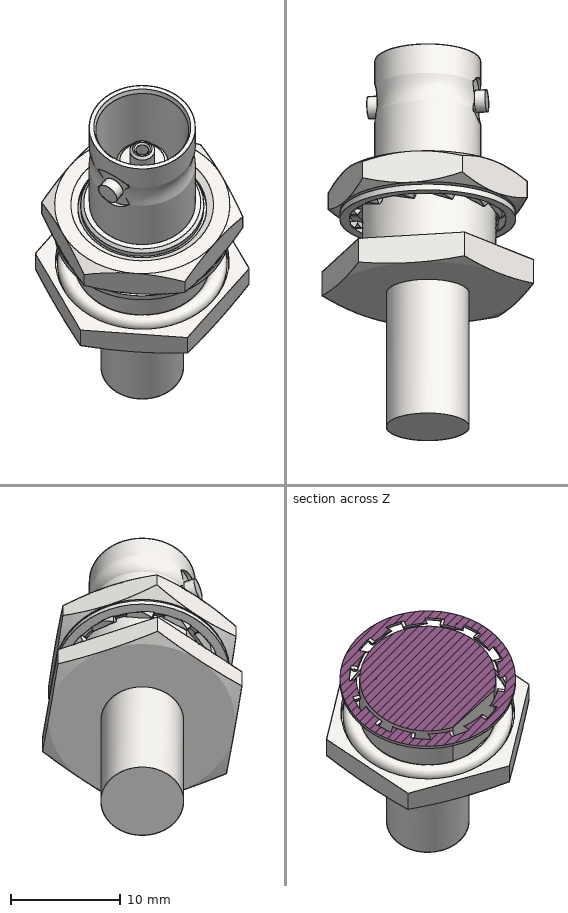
import cadquery as cq
import math


total_height = 35.4
flange_bottom = 12.95
flange_top = 15.6
nut_bottom = 20.92
nut_top = 23.93
barrel_base = 24.2

tube_radius = 3.8
flange_flats = 17.0
flange_chamfer_angle = 15.0

ring_section_radius = 0.78
ring_top = 16.05
groove_radius = 7.93
ring_bite = 0.05

thread_radius = 6.23
relief_radius = 5.63
collar_radius = 5.35
relief_bottom = 23.47
thread_flat = 5.52

nut_flats = 16.0
nut_chamfer_angle = 30.0
nut_bore_radius = 5.88
nut_bore_chamfer_width = 0.65
nut_bore_chamfer_depth = 0.35

washer_radius = 8.05
washer_inner_radius = 7.15
washer_bottom = 20.1
washer_thickness = 0.55
tooth_count = 12
tooth_tilt = 17.0
tooth_width = 2.4
tooth_inner_radius = 6.5
tooth_ridge_radius = 6.8
tooth_ridge_height = 0.4
tooth_root_overlap = 0.07

barrel_radius = 4.85
waist_radius = 4.65
waist_half_height = 1.3
pin_height = 31.25
pin_radius = 1.03
pin_reach = 5.5
pin_seat_radius = 2.15
pin_seat_offset = 4.5

mouth_radius = 4.42
mouth_chamfer_radius = 4.25
mouth_chamfer_depth = 0.42
socket_floor_radius = 3.95
socket_depth = 8.85

insulator_radius = 2.37
insulator_tip_radius = 2.05
insulator_top = 30.45
contact_radius = 1.15
contact_tip_radius = 0.9
contact_top = 32.2
contact_chamfer = 0.25
contact_bore_radius = 0.55
contact_bore_chamfer = 0.18
contact_bore_depth = 4.25


def cylinder(radius, bottom, top):
    return cq.Workplane("XY").workplane(offset=bottom).circle(radius).extrude(top - bottom)


def revolve_profile(profile):
    """Turn a closed wire of (radius, height) points about Z."""
    return profile.close().revolve(360, (0, 0, 0), (0, 1, 0))


def turned(points):
    return revolve_profile(cq.Workplane("XZ").polyline(points))


def hexagon(flats, bottom, top):
    """Hexagonal prism with two flats facing +X and -X."""
    corner_diameter = flats / math.cos(math.pi / 6)
    prism = cq.Workplane("XY").workplane(offset=bottom).polygon(6, corner_diameter).extrude(top - bottom)
    return prism.rotate((0, 0, 0), (0, 0, 1), 30)


def chamfered_hexagon(flats, bottom, top, angle, chamfer_top):
    """Hexagon whose corners are turned off by a cone starting at the inscribed circle."""
    inscribed = flats / 2
    corner = inscribed / math.cos(math.pi / 6)
    drop = (corner - inscribed) * math.tan(math.radians(angle))
    envelope = [(0, bottom), (inscribed, bottom), (corner, bottom + drop)]
    if chamfer_top:
        envelope += [(corner, top - drop), (inscribed, top), (0, top)]
    else:
        envelope += [(corner, top), (0, top)]
    return hexagon(flats, bottom, top).intersect(turned(envelope))


def make_flange():
    flange = chamfered_hexagon(flange_flats, flange_bottom, flange_top, flange_chamfer_angle, False)
    groove_floor = ring_top - 2 * ring_section_radius + ring_bite
    return flange.cut(cylinder(groove_radius, groove_floor, flange_top))


def make_o_ring():
    ring_radius = thread_radius + ring_section_radius - ring_bite
    section = cq.Workplane("XZ").center(ring_radius, ring_top - ring_section_radius)
    return section.circle(ring_section_radius).revolve(360, (-ring_radius, 0, 0), (-ring_radius, 1, 0))


def make_threaded_body():
    """Threaded length with a relieved front end and one flat along its +Y side."""
    chamfer = relief_radius - collar_radius
    body = turned([
        (0, flange_bottom),
        (thread_radius, flange_bottom),
        (thread_radius, relief_bottom - (thread_radius - relief_radius)),
        (relief_radius, relief_bottom),
        (relief_radius, barrel_base - chamfer),
        (collar_radius, barrel_base),
        (0, barrel_base),
    ])
    flat_cut = cq.Workplane("XY", origin=(0, thread_flat, flange_bottom)).box(
        2 * thread_radius, thread_radius, barrel_base - flange_bottom, centered=(True, False, False)
    )
    return body.cut(flat_cut)


def make_nut():
    nut = chamfered_hexagon(nut_flats, nut_bottom, nut_top, nut_chamfer_angle, True)
    rim_radius = nut_bore_radius + nut_bore_chamfer_width
    bore = turned([
        (0, nut_bottom),
        (rim_radius, nut_bottom),
        (nut_bore_radius, nut_bottom + nut_bore_chamfer_depth),
        (nut_bore_radius, nut_top - nut_bore_chamfer_depth),
        (rim_radius, nut_top),
        (0, nut_top),
    ])
    return nut.cut(bore)


def make_lock_washer():
    """Flat ring with tilted inner teeth; the tooth ridges bite into the nut."""
    washer_top = washer_bottom + washer_thickness
    middle = (washer_bottom + washer_top) / 2
    washer = cylinder(washer_radius, washer_bottom, washer_top)
    washer = washer.cut(cylinder(washer_inner_radius, washer_bottom, washer_top))
    root_radius = washer_inner_radius + tooth_root_overlap
    tooth_ring = turned([
        (root_radius, washer_bottom),
        (root_radius, washer_top),
        (tooth_ridge_radius, washer_top + tooth_ridge_height),
        (tooth_inner_radius, washer_top),
        (tooth_inner_radius, washer_bottom),
        (tooth_ridge_radius, washer_bottom - tooth_ridge_height),
    ])
    blade = cq.Workplane("XY").box(tooth_width, root_radius, washer_thickness)
    blade = blade.rotate((0, 0, 0), (0, 1, 0), tooth_tilt)
    half_span = tooth_width / 2 * math.cos(math.radians(tooth_tilt))
    blade = blade.translate((-half_span, -tooth_ridge_radius, middle))
    for index in range(tooth_count):
        tooth = blade.rotate((0, 0, 0), (0, 0, 1), index * 360 / tooth_count)
        washer = washer.union(tooth.intersect(tooth_ring))
    return washer


def make_barrel():
    """Barrel with a concave waist, a flat seat around each pin and the pins themselves."""
    outline = (
        cq.Workplane("XZ")
        .moveTo(0, barrel_base)
        .lineTo(barrel_radius, barrel_base)
        .lineTo(barrel_radius, pin_height - waist_half_height)
        .threePointArc((waist_radius, pin_height), (barrel_radius, pin_height + waist_half_height))
        .lineTo(barrel_radius, total_height)
        .lineTo(0, total_height)
    )
    barrel = revolve_profile(outline)
    for side in (1, -1):
        seat = cq.Workplane("XZ", origin=(0, side * pin_seat_offset, pin_height))
        barrel = barrel.cut(seat.circle(pin_seat_radius).extrude(-side * barrel_radius))
    pins = cq.Workplane("XZ", origin=(0, 0, pin_height)).circle(pin_radius).extrude(pin_reach, both=True)
    return barrel.union(pins)


def make_socket():
    return turned([
        (0, total_height),
        (mouth_radius, total_height),
        (mouth_chamfer_radius, total_height - mouth_chamfer_depth),
        (socket_floor_radius, total_height - socket_depth),
        (0, total_height - socket_depth),
    ])


def make_contact():
    """Insulator post carrying the hollow centre contact."""
    floor = total_height - socket_depth
    post = turned([
        (0, floor),
        (insulator_radius, floor),
        (insulator_radius, insulator_top - (insulator_radius - insulator_tip_radius)),
        (insulator_tip_radius, insulator_top),
        (contact_radius, insulator_top),
        (contact_radius, contact_top - contact_chamfer),
        (contact_tip_radius, contact_top),
        (0, contact_top),
    ])
    bore = turned([
        (0, contact_top - contact_bore_depth),
        (contact_bore_radius, contact_top - contact_bore_depth),
        (contact_bore_radius, contact_top - contact_bore_chamfer),
        (contact_bore_radius + contact_bore_chamfer, contact_top),
        (0, contact_top),
    ])
    return post.cut(bore)


result = (
    cylinder(tube_radius, 0, flange_bottom)
    .union(make_threaded_body())
    .union(make_flange())
    .union(make_o_ring())
    .union(make_nut())
    .union(make_lock_washer())
    .union(make_barrel())
    .cut(make_socket())
    .union(make_contact())
)